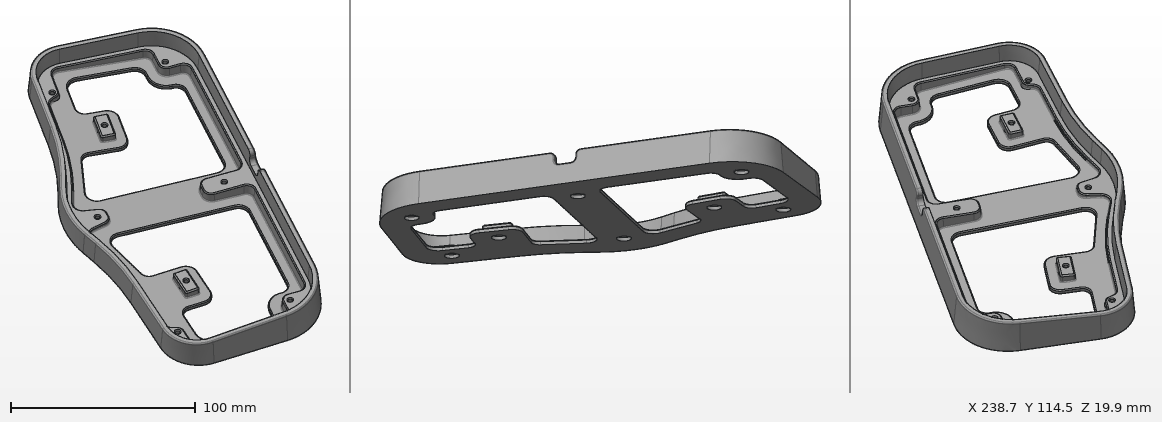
import cadquery as cq
import math

FULL_WIDTH = 238.68
BACK_Y = 57.25
FRONT_Y = -57.25
HEIGHT = 19.91
UNDERSIDE_TILT = 3.0
DRAFT = 4.7
SKEW = 5.0

FLANK_ANGLE = 20.5
NOSE_RADIUS = 53.0
KNEE_X = 44.2
KNEE_RADIUS = 135.0
FRONT_CORNER_RADIUS = 20.4
BACK_CORNER_RADIUS = 30.5
WIDEST_Y = -17.9
WALL = 3.0
RIM_FILLET = 0.8

LEDGE_DEPTH = 10.3
LEDGE_INSET = 6.8
LEDGE_CHAMFER = 0.6
LEDGE_RADIUS = 4.6
LUG_TIP_RADIUS = 3.7
CENTRE_LUG_HALF_WIDTH = 6.2
CENTRE_LUG_Y = 22.4
BACK_LUG_X = 90.1
BACK_LUG_Y = 33.2
FRONT_LUG_X = 92.9
FRONT_LUG_FOOT_X = 89.9
FRONT_LUG_Y = -24.8
NOSE_LUG_Y = -32.3
NOSE_LUG_HALF_WIDTH = 4.8
NOSE_LUG_FOOT_X = 8.7
NOSE_LUG_TIP_RADIUS = 4.4
NOSE_LUG_FOOT_RADIUS = 5.5

FLOOR_THICKNESS = 2.4
FOOT_FILLET = 0.5
OPENING_CHAMFER = 0.6
OPENING_BACK_Y = 42.3
OPENING_INNER_X = 13.5
OPENING_STEP_X = 82.4
OPENING = [
    (OPENING_INNER_X, OPENING_BACK_Y, 6.0),
    (OPENING_STEP_X, OPENING_BACK_Y, 5.5),
    (OPENING_STEP_X, 26.0, 10.5),
    (100.8, 26.0, 6.0),
    (104.3, -17.6, 7.0),
    (77.8, -19.9, 5.0),
    (75.9, 1.4, 6.5),
    (46.5, -1.3, 6.5),
    (48.9, -28.9, 5.0),
    (OPENING_INNER_X, -39.5, 6.0),
]

PAD_X = 62.0
PAD_Y = -10.5
PAD_LENGTH = 16.4
PAD_WIDTH = 8.2
PAD_HEIGHT = 4.3
PAD_ROOT = 1.0
PAD_CORNER_RADIUS = 1.0
PAD_CHAMFER = 0.8

HOLE_DIAMETER = 2.42
HOLE_CHAMFER = 0.6
COUNTERBORE_DIAMETER = 8.0
COUNTERBORE_DEPTH = 2.0
CENTRE_HOLES = [(0, 35.2), (0, -38.2)]
SIDE_HOLES = [(94.9, 37.2), (95.4, -28.1)]

NOTCH_HALF_WIDTH = 6.1
NOTCH_DEPTH = 7.5
NOTCH_RADIUS = 2.9
NOTCH_LENGTH = 12.0

tan_draft = math.tan(math.radians(DRAFT))
tan_tilt = math.tan(math.radians(UNDERSIDE_TILT))
tan_skew = math.tan(math.radians(SKEW))
cos_skew = math.cos(math.radians(SKEW))
sin_skew = math.sin(math.radians(SKEW))
tan_flank = math.tan(math.radians(FLANK_ANGLE))
cos_flank = math.cos(math.radians(FLANK_ANGLE))

rim_z = HEIGHT
ledge_z = rim_z - LEDGE_DEPTH


def underside_z(y):
    return (BACK_Y - y) * tan_tilt


def floor_z(y):
    return underside_z(y) + FLOOR_THICKNESS


rim_back_y = BACK_Y - rim_z * tan_draft
rim_front_y = FRONT_Y + (rim_z - underside_z(FRONT_Y)) * tan_draft
rim_half_width = FULL_WIDTH / 2 - (rim_z - underside_z(WIDEST_Y)) * tan_draft
nose_corner_y = rim_front_y - NOSE_RADIUS * (1 / cos_flank - 1)
knee_y = nose_corner_y + KNEE_X * tan_flank
side_end_x = rim_half_width - FRONT_CORNER_RADIUS * (1 - cos_skew)
side_end_y = WIDEST_Y + FRONT_CORNER_RADIUS * sin_skew


def side_x(y, inset):
    return side_end_x - (y - side_end_y) * tan_skew - inset / cos_skew


def front_y(x, inset):
    return knee_y + (x - KNEE_X) * tan_skew + inset / cos_skew


def flank_y(x, inset):
    return nose_corner_y + x * tan_flank + inset / cos_flank


def knee_corner(inset):
    """Crossing of the flank line and the front line, with its rounding."""
    x = (front_y(0, inset) - flank_y(0, inset)) / (tan_flank - tan_skew)
    return x, flank_y(x, inset), KNEE_RADIUS + inset


def front_corner(inset):
    """Crossing of the front line and the side line, with its rounding."""
    x = (side_x(0, inset) - front_y(0, inset) * tan_skew) / (1 + tan_skew**2)
    return x, front_y(x, inset), FRONT_CORNER_RADIUS - inset


def mirrored(half):
    """Complete an outline from its corners at X >= 0, listed from the nose to the back."""
    return half + [(-x, y, radius) for x, y, radius in reversed(half) if x > 0]


def rim_corners(inset):
    back_y = rim_back_y - inset
    return mirrored([
        (0, flank_y(0, inset), NOSE_RADIUS - inset),
        knee_corner(inset),
        front_corner(inset),
        (side_x(back_y, inset), back_y, BACK_CORNER_RADIUS - inset),
    ])


def ledge_corners():
    """Inner edge of the ledge, drawn in around the screw lugs."""
    inset = LEDGE_INSET
    ledge_back_y = rim_back_y - inset
    lug_side_x = side_x(FRONT_LUG_Y, inset)
    lug_side_y = FRONT_LUG_Y + (lug_side_x - FRONT_LUG_X) * tan_skew
    return mirrored([
        (NOSE_LUG_HALF_WIDTH, NOSE_LUG_Y, NOSE_LUG_TIP_RADIUS),
        (NOSE_LUG_FOOT_X, flank_y(NOSE_LUG_FOOT_X, inset), NOSE_LUG_FOOT_RADIUS),
        knee_corner(inset),
        (FRONT_LUG_FOOT_X, front_y(FRONT_LUG_FOOT_X, inset), LEDGE_RADIUS),
        (FRONT_LUG_X, FRONT_LUG_Y, LUG_TIP_RADIUS),
        (lug_side_x, lug_side_y, LEDGE_RADIUS),
        (side_x(BACK_LUG_Y, inset), BACK_LUG_Y, LEDGE_RADIUS),
        (BACK_LUG_X, BACK_LUG_Y, LEDGE_RADIUS),
        (BACK_LUG_X, ledge_back_y, LEDGE_RADIUS),
        (CENTRE_LUG_HALF_WIDTH, ledge_back_y, LEDGE_RADIUS),
        (CENTRE_LUG_HALF_WIDTH, CENTRE_LUG_Y, LEDGE_RADIUS),
    ])


def rounded_outline(corners, z):
    """Closed wire at height z through (x, y, radius) corners, each rounded by a tangent arc."""
    points = [cq.Vector(x, y, z) for x, y, _ in corners]
    starts, middles, ends = [], [], []
    for i, (_, _, radius) in enumerate(corners):
        corner = points[i]
        to_previous = (points[i - 1] - corner).normalized()
        to_next = (points[(i + 1) % len(points)] - corner).normalized()
        half_angle = to_previous.getAngle(to_next) / 2
        tangent_length = radius / math.tan(half_angle)
        bisector = (to_previous + to_next).normalized()
        starts.append(corner + to_previous * tangent_length)
        middles.append(corner + bisector * (radius / math.sin(half_angle) - radius))
        ends.append(corner + to_next * tangent_length)
    edges = []
    for i, start in enumerate(starts):
        edges.append(cq.Edge.makeThreePointArc(start, middles[i], ends[i]))
        edges.append(cq.Edge.makeLine(ends[i], starts[(i + 1) % len(starts)]))
    return cq.Wire.assembleEdges(edges)


def prism_below(corners, z, depth, draft):
    """Solid from an outline at height z downwards; it narrows if draft is positive."""
    wire = rounded_outline(corners, z)
    return cq.Workplane(cq.Solid.extrudeLinear(wire, [], cq.Vector(0, 0, -depth), draft))


def space_above_underside(lift):
    """Large block above the plane of the underside raised by lift."""
    reach = FULL_WIDTH
    rise = reach * tan_tilt
    return (
        cq.Workplane("YZ")
        .moveTo(BACK_Y - reach, lift + rise)
        .lineTo(BACK_Y + reach, lift - rise)
        .lineTo(BACK_Y + reach, reach)
        .lineTo(BACK_Y - reach, reach)
        .close()
        .extrude(reach, both=True)
    )


def edge_near(body, x, y, z):
    return body.edges(cq.NearestToPointSelector((x, y, z)))


def back_notch():
    """Notch with rounded shoulders and rounded bottom corners."""
    half_width, radius = NOTCH_HALF_WIDTH, NOTCH_RADIUS
    bottom_z = rim_z - NOTCH_DEPTH
    return (
        cq.Workplane("XZ", origin=(0, BACK_Y, 0))
        .moveTo(-half_width - radius, rim_z)
        .radiusArc((-half_width, rim_z - radius), radius)
        .lineTo(-half_width, bottom_z + radius)
        .radiusArc((-half_width + radius, bottom_z), -radius)
        .lineTo(half_width - radius, bottom_z)
        .radiusArc((half_width, bottom_z + radius), -radius)
        .lineTo(half_width, rim_z - radius)
        .radiusArc((half_width + radius, rim_z), radius)
        .close()
        .extrude(NOTCH_LENGTH)
    )


def outer_block():
    block = prism_below(rim_corners(0), rim_z, HEIGHT, -DRAFT)
    block = block.intersect(space_above_underside(0)).cut(back_notch())
    return edge_near(block, 0, rim_front_y, rim_z).fillet(RIM_FILLET)


def cut_pocket(body):
    """Hollow out the rim down to the ledge, then the well inside the ledge down to the floor."""
    body = body.cut(prism_below(rim_corners(WALL), rim_z, LEDGE_DEPTH, DRAFT))
    well = prism_below(ledge_corners(), ledge_z, ledge_z, DRAFT)
    well = well.intersect(space_above_underside(FLOOR_THICKNESS))
    body = body.cut(well.faces("<Z").edges().fillet(FOOT_FILLET))
    ledge_middle_x = (CENTRE_LUG_HALF_WIDTH + BACK_LUG_X) / 2
    return edge_near(body, ledge_middle_x, rim_back_y - LEDGE_INSET, ledge_z).chamfer(LEDGE_CHAMFER)


def cut_opening(body, side):
    """Opening through the floor; side is 1 for +X and -1 for -X."""
    corners = [(side * x, y, radius) for x, y, radius in OPENING]
    body = body.cut(prism_below(corners, rim_z, HEIGHT, 0))
    middle_x = side * (OPENING_INNER_X + OPENING_STEP_X) / 2
    back_edge = edge_near(body, middle_x, OPENING_BACK_Y, floor_z(OPENING_BACK_Y))
    return back_edge.chamfer(OPENING_CHAMFER)


def add_pad(body, side):
    pad = (
        cq.Workplane("XY")
        .workplane(offset=-PAD_ROOT)
        .rect(PAD_LENGTH, PAD_WIDTH)
        .extrude(PAD_ROOT + PAD_HEIGHT)
        .edges("|Z")
        .fillet(PAD_CORNER_RADIUS)
        .faces(">Z")
        .chamfer(PAD_CHAMFER)
        .rotate((0, 0, 0), (0, 0, 1), side * SKEW)
        .translate((side * PAD_X, PAD_Y, floor_z(PAD_Y)))
    )
    foot_y = PAD_Y - PAD_WIDTH / 2
    return edge_near(body.union(pad), side * PAD_X, foot_y, floor_z(foot_y)).fillet(FOOT_FILLET)


def screw_hole(x, y, top_z):
    """Cutter for a hole chamfered at top_z and counterbored square to the underside."""
    bore_radius = HOLE_DIAMETER / 2
    bore = cq.Workplane("XY", origin=(x, y, 0)).circle(bore_radius).extrude(top_z)
    chamfer_base = cq.Vector(x, y, top_z - HOLE_CHAMFER)
    chamfer = cq.Solid.makeCone(bore_radius, bore_radius + HOLE_CHAMFER, HOLE_CHAMFER, chamfer_base)
    counterbore = (
        cq.Workplane("XY")
        .circle(COUNTERBORE_DIAMETER / 2)
        .extrude(COUNTERBORE_DEPTH, both=True)
        .rotate((0, 0, 0), (1, 0, 0), -UNDERSIDE_TILT)
        .translate((x, y, underside_z(y)))
    )
    return bore.union(cq.Workplane(chamfer)).union(counterbore)


tray = cut_pocket(outer_block())
for side in (1, -1):
    tray = cut_opening(tray, side)
    tray = add_pad(tray, side)
    tray = tray.cut(screw_hole(side * PAD_X, PAD_Y, floor_z(PAD_Y) + PAD_HEIGHT))
    for hole_x, hole_y in SIDE_HOLES:
        tray = tray.cut(screw_hole(side * hole_x, hole_y, ledge_z))
for hole_x, hole_y in CENTRE_HOLES:
    tray = tray.cut(screw_hole(hole_x, hole_y, ledge_z))

result = tray